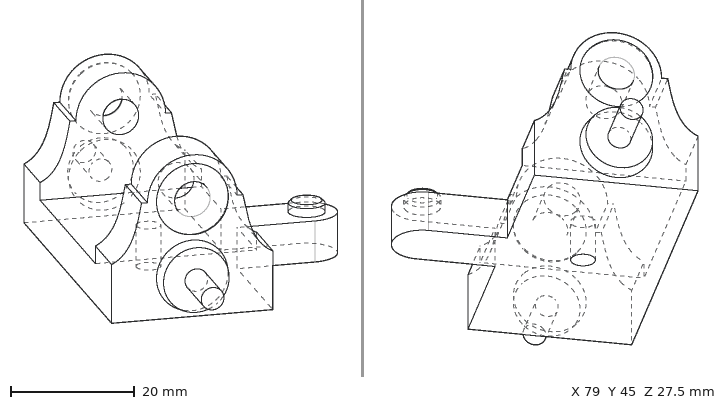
import cadquery as cq

BODY_LENGTH = 54.0
BODY_WIDTH = 27.0
BASE_THICKNESS = 7.0
CENTRE_HOLE_DIAMETER = 4.0

TAB_WIDTH = 10.0
TAB_REACH = 18.0
STUD_DIAMETER = 6.0
STUD_HEIGHT = 2.0
STUD_CHAMFER = 0.5

CHEEK_THICKNESS = 10.0
SHOULDER_HEIGHT = 10.0
EYE_HEIGHT = 20.0
EYE_RADIUS = 7.5
EYE_BORE_DIAMETER = 6.0
LEDGE_WIDTH = 1.0
FLANK_UPPER = (9.75, 14.7)
FLANK_LOWER = (11.6, 11.4)

RING_TUBE_RADIUS = 1.5
RING_CENTRE_RADIUS = EYE_BORE_DIAMETER / 2 + RING_TUBE_RADIUS

AXLE_HEIGHT = BASE_THICKNESS
AXLE_DIAMETER = 3.8
AXLE_REACH = 12.5
COLLAR_ROOT_DIAMETER = 12.0
COLLAR_TIP_DIAMETER = 11.0
COLLAR_LENGTH = 2.5

HALF_LENGTH = BODY_LENGTH / 2
HALF_WIDTH = BODY_WIDTH / 2


def make_base():
    plate = cq.Workplane("XY").box(BODY_LENGTH, BODY_WIDTH, BASE_THICKNESS, centered=(True, True, False))
    hole = cq.Workplane("XY").circle(CENTRE_HOLE_DIAMETER / 2).extrude(BASE_THICKNESS)
    return plate.cut(hole)


def make_tab():
    end_radius = TAB_WIDTH / 2
    stud_y = HALF_WIDTH + TAB_REACH - end_radius
    tab = (
        cq.Workplane("XY")
        .moveTo(-end_radius, HALF_WIDTH)
        .lineTo(-end_radius, stud_y)
        .threePointArc((0, HALF_WIDTH + TAB_REACH), (end_radius, stud_y))
        .lineTo(end_radius, HALF_WIDTH)
        .close()
        .extrude(BASE_THICKNESS)
    )
    stud = (
        cq.Workplane("XY", origin=(0, stud_y, BASE_THICKNESS))
        .circle(STUD_DIAMETER / 2)
        .extrude(STUD_HEIGHT)
        .faces(">Z")
        .chamfer(STUD_CHAMFER)
    )
    return tab.union(stud)


def make_cheek():
    """Cheek at the +X end, without its bore."""
    ledge_y = EYE_RADIUS + LEDGE_WIDTH
    rear_flank = [FLANK_UPPER, FLANK_LOWER, (HALF_WIDTH, SHOULDER_HEIGHT)]
    front_flank = [(-y, z) for y, z in (FLANK_LOWER, FLANK_UPPER, (ledge_y, EYE_HEIGHT))]
    return (
        cq.Workplane("YZ", origin=(HALF_LENGTH - CHEEK_THICKNESS, 0, 0))
        .moveTo(-HALF_WIDTH, 0)
        .lineTo(-HALF_WIDTH, SHOULDER_HEIGHT)
        .spline(front_flank, includeCurrent=True)
        .lineTo(-EYE_RADIUS, EYE_HEIGHT)
        .threePointArc((0, EYE_HEIGHT + EYE_RADIUS), (EYE_RADIUS, EYE_HEIGHT))
        .lineTo(ledge_y, EYE_HEIGHT)
        .spline(rear_flank, includeCurrent=True)
        .lineTo(HALF_WIDTH, 0)
        .close()
        .extrude(CHEEK_THICKNESS)
    )


def make_ring():
    """Half-round ring standing on the outer face of the +X cheek."""
    inner_radius = RING_CENTRE_RADIUS - RING_TUBE_RADIUS
    outer_radius = RING_CENTRE_RADIUS + RING_TUBE_RADIUS
    return (
        cq.Workplane("XY", origin=(HALF_LENGTH, 0, EYE_HEIGHT))
        .moveTo(0, inner_radius)
        .threePointArc((RING_TUBE_RADIUS, RING_CENTRE_RADIUS), (0, outer_radius))
        .close()
        .revolve(360, (0, 0, 0), (1, 0, 0))
    )


def make_collar_and_axle():
    """Tapered collar with the axle stub, revolved about the axle line at the +X end."""
    return (
        cq.Workplane("XY", origin=(HALF_LENGTH, 0, AXLE_HEIGHT))
        .lineTo(0, COLLAR_ROOT_DIAMETER / 2)
        .lineTo(COLLAR_LENGTH, COLLAR_TIP_DIAMETER / 2)
        .lineTo(COLLAR_LENGTH, AXLE_DIAMETER / 2)
        .lineTo(AXLE_REACH, AXLE_DIAMETER / 2)
        .lineTo(AXLE_REACH, 0)
        .close()
        .revolve(360, (0, 0, 0), (1, 0, 0))
    )


def make_end():
    """Complete upright end at +X."""
    bore = (
        cq.Workplane("YZ", origin=(HALF_LENGTH - CHEEK_THICKNESS, 0, EYE_HEIGHT))
        .circle(EYE_BORE_DIAMETER / 2)
        .extrude(CHEEK_THICKNESS)
    )
    return make_cheek().cut(bore).union(make_ring()).union(make_collar_and_axle())


right_end = make_end()
left_end = right_end.mirror("YZ")
result = make_base().union(make_tab()).union(right_end).union(left_end)